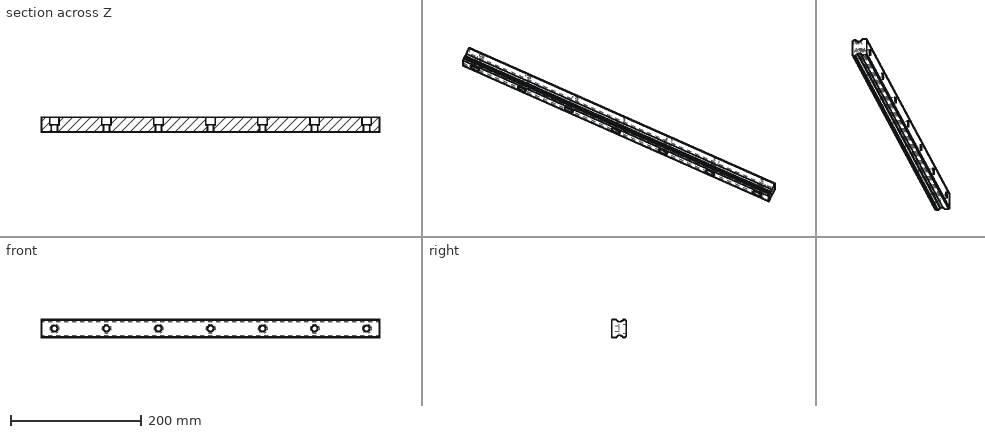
import cadquery as cq
import math

length = 520.0
height = 23.0
width = 28.0

base_chamfer = 1.5

top_raceway_height = 2.7
top_raceway_inset = 2.0
raceway_radius = 4.0

groove_depth = 3.5
groove_mouth_top = 6.5
groove_raceway_end = 3.3
groove_raceway_depth = 2.6
groove_floor_top = 2.8
groove_floor_base = -1.0
groove_mouth_base = -4.5
groove_lip_radius = 1.6

hole_pitch = 80.0
end_margin = 20.0
hole_diameter = 9.0
counterbore_diameter = 14.0
counterbore_depth = 12.0

half_height = height / 2
half_width = width / 2


def hollow_midpoint(start, end, radius):
    """Middle of the arc from start to end that bows toward the rail's mid plane (Z = 0)."""
    chord_y = end[0] - start[0]
    chord_z = end[1] - start[1]
    chord = math.hypot(chord_y, chord_z)
    sag = radius - math.sqrt(radius**2 - (chord / 2) ** 2)
    mid_y = (start[0] + end[0]) / 2
    mid_z = (start[1] + end[1]) / 2
    return (mid_y + sag * chord_z / chord, mid_z - sag * chord_y / chord)


def half_rail():
    """Half of the section above the mid plane (Z >= 0), extruded along X and centred on it."""
    floor = half_width - groove_depth
    raceway_end = (groove_raceway_end, half_width - groove_raceway_depth)
    raceway_start = (groove_mouth_top, half_width)
    top_start = (half_height - top_raceway_height, half_width)
    top_end = (half_height, half_width - top_raceway_inset)
    section = (
        cq.Workplane("YZ")
        .moveTo(-half_height, 0)
        .lineTo(-half_height, half_width - base_chamfer)
        .lineTo(-half_height + base_chamfer, half_width)
        .lineTo(groove_mouth_base, half_width)
        .lineTo(groove_floor_base, floor)
        .lineTo(groove_floor_top, floor)
        .lineTo(*raceway_end)
        .threePointArc(hollow_midpoint(raceway_end, raceway_start, raceway_radius), raceway_start)
        .lineTo(*top_start)
        .threePointArc(hollow_midpoint(top_start, top_end, raceway_radius), top_end)
        .lineTo(half_height, 0)
        .close()
    )
    body = section.extrude(length / 2, both=True)
    lip = cq.selectors.NearestToPointSelector((0, groove_mouth_base, half_width))
    return body.edges(lip).fillet(groove_lip_radius)


def rail_body():
    """Full rail: the half above the mid plane joined to its mirror image."""
    upper = half_rail()
    return upper.union(upper.mirror("XY")).clean()


def drill_mounting_holes(body):
    """Cut the row of through holes, counterbored from the top face."""
    hole_count = int((length - 2 * end_margin) // hole_pitch) + 1
    first_x = -length / 2 + end_margin
    centres = [(first_x + i * hole_pitch, 0) for i in range(hole_count)]
    top_face = cq.Workplane("XZ", origin=(0, half_height, 0))
    holes = top_face.pushPoints(centres).circle(hole_diameter / 2).extrude(height)
    counterbores = top_face.pushPoints(centres).circle(counterbore_diameter / 2).extrude(counterbore_depth)
    return body.cut(holes).cut(counterbores)


result = drill_mounting_holes(rail_body())